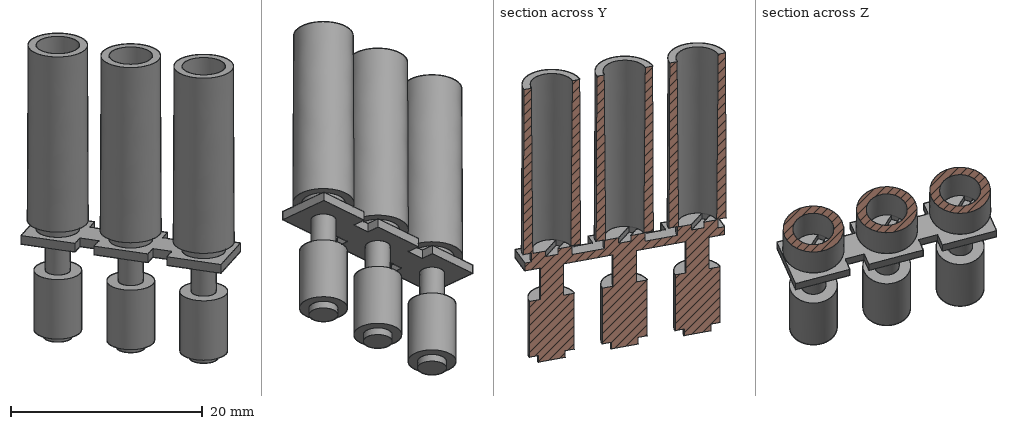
import cadquery as cq

post_count = 3
post_pitch = 8.1

tip_top = 0.8
collar_top = 7.57
plate_bottom = 11.3
plate_top = 12.3
sleeve_bottom = 13.28
sleeve_top = 33.2

tip_diameter = 3.02
collar_diameter = 5.0
shaft_diameter = 2.62
neck_diameter = 4.58
sleeve_bottom_diameter = 6.4
sleeve_top_diameter = 6.25

bore_top_diameter = 4.5
bore_floor_diameter = 4.18
slot_width = 0.93
slot_depth = 0.65
slot_angle = 45

plate_side = 6.0
link_width = 3.02


def cylinder(diameter, bottom, top):
    return cq.Workplane("XY").workplane(offset=bottom).circle(diameter / 2).extrude(top - bottom)


def cone(bottom_diameter, top_diameter, bottom, top):
    return (
        cq.Workplane("XY").workplane(offset=bottom).circle(bottom_diameter / 2)
        .workplane(offset=top - bottom).circle(top_diameter / 2)
        .loft(ruled=True)
    )


def slot_cutter():
    floor_disc = cylinder(bore_floor_diameter, sleeve_bottom - slot_depth, sleeve_bottom)
    bar = (
        cq.Workplane("XY").workplane(offset=sleeve_bottom - slot_depth)
        .rect(bore_floor_diameter, slot_width).extrude(slot_depth)
        .rotate((0, 0, 0), (0, 0, 1), slot_angle)
    )
    return bar.intersect(floor_disc)


def make_post():
    plate_thickness = plate_top - plate_bottom
    plate = (
        cq.Workplane("XY").workplane(offset=plate_bottom)
        .rect(plate_side, plate_side).extrude(plate_thickness)
    )
    return (
        cylinder(tip_diameter, 0, tip_top)
        .union(cylinder(collar_diameter, tip_top, collar_top))
        .union(cylinder(shaft_diameter, collar_top, plate_bottom))
        .union(plate)
        .union(cylinder(neck_diameter, plate_top, sleeve_bottom))
        .union(cone(sleeve_bottom_diameter, sleeve_top_diameter, sleeve_bottom, sleeve_top))
        .cut(cone(bore_floor_diameter, bore_top_diameter, sleeve_bottom, sleeve_top))
        .cut(slot_cutter())
    )


row_length = (post_count - 1) * post_pitch
result = (
    cq.Workplane("XY").workplane(offset=plate_bottom)
    .rect(row_length, link_width).extrude(plate_top - plate_bottom)
)

post = make_post()
for index in range(post_count):
    post_x = index * post_pitch - row_length / 2
    result = result.union(post.translate((post_x, 0, 0)))